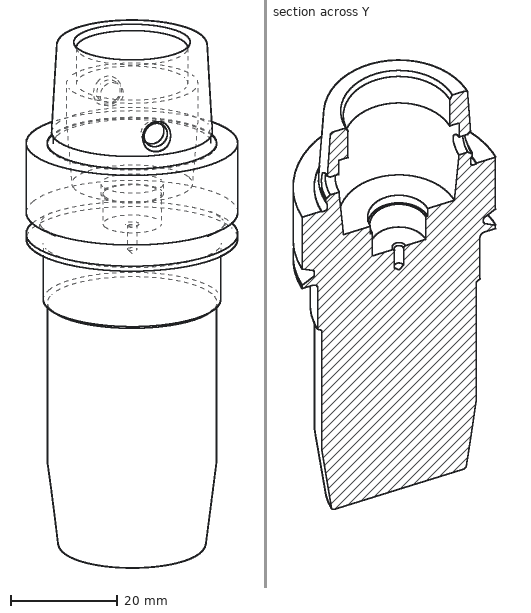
import cadquery as cq
import math

overall_height = 99.9
shank_length = 20.0
flange_face_z = overall_height - shank_length
flange_bottom_z = 60.9
collar_bottom_z = 49.0
body_bottom_z = 17.0

flange_radius = 20.0
groove_floor_radius = 17.5
groove_center_z = 64.0
groove_width = 4.2
groove_wall_angle = math.radians(30)
groove_corner_radius = 0.6

collar_radius = 16.8
collar_root_radius = 1.0
collar_chamfer_height = 0.6
body_radius = 16.0
nose_radius = 13.9
nose_corner_radius = 0.8

shank_top_radius = 14.2
shank_base_radius = 15.2
shank_corner_radius = 0.7
shank_base_z = 82.1
relief_radius = 14.9
relief_top_z = 81.4
relief_corner_radius = 0.6
relief_root_radius = 0.4
face_recess_radius = 16.0
face_recess_depth = 0.2

bore_radius = 10.5
bore_mouth_radius = 11.0
bore_mouth_depth = 1.1
bore_straight_depth = 8.1
undercut_radius = 12.4
undercut_end_depth = 15.7
bore_floor_radius = 11.4
bore_depth = 28.0

seat_radius = 5.5
seat_depth = 8.0
seat_mouth_radius = 5.9
seat_mouth_depth = 2.0
center_hole_mouth_radius = 1.3
center_hole_mouth_depth = 0.4
center_hole_radius = 0.9
center_hole_depth = 5.0
center_hole_tip_depth = 0.9

cross_hole_radius = 2.3
cross_hole_z = 85.8
cross_hole_sink_radius = 3.0
cross_hole_sink_depth = 0.8


def revolve_profile(profile):
    """Revolve a closed (radius, height) outline about the Z axis."""
    return profile.close().revolve(360, (0, 0, 0), (0, 1, 0))


def circles_at(z, radius):
    """Select the circular edge of the given radius and height."""
    margin = 0.05
    outer = radius + margin
    inner = radius - margin
    return cq.selectors.BoxSelector(
        (-outer, -outer, z - margin), (outer, outer, z + margin), boundingbox=True
    ) - cq.selectors.BoxSelector(
        (-inner, -inner, z - margin), (inner, inner, z + margin), boundingbox=True
    )


def make_body():
    groove_top_z = groove_center_z + groove_width / 2
    groove_bottom_z = groove_center_z - groove_width / 2
    wall_drop = (flange_radius - groove_floor_radius) * math.tan(groove_wall_angle)
    floor_top_z = groove_top_z - wall_drop
    floor_bottom_z = groove_bottom_z + wall_drop
    recess_floor_z = flange_face_z - face_recess_depth

    body = revolve_profile(
        cq.Workplane("XZ")
        .moveTo(0, 0)
        .lineTo(nose_radius, 0)
        .lineTo(body_radius, body_bottom_z)
        .lineTo(body_radius, collar_bottom_z - collar_chamfer_height)
        .lineTo(collar_radius, collar_bottom_z)
        .lineTo(collar_radius, flange_bottom_z)
        .lineTo(flange_radius, flange_bottom_z)
        .lineTo(flange_radius, groove_bottom_z)
        .lineTo(groove_floor_radius, floor_bottom_z)
        .lineTo(groove_floor_radius, floor_top_z)
        .lineTo(flange_radius, groove_top_z)
        .lineTo(flange_radius, flange_face_z)
        .lineTo(face_recess_radius, flange_face_z)
        .lineTo(face_recess_radius, recess_floor_z)
        .lineTo(relief_radius, recess_floor_z)
        .lineTo(relief_radius, relief_top_z)
        .lineTo(shank_base_radius, shank_base_z)
        .lineTo(shank_top_radius, overall_height)
        .lineTo(0, overall_height)
    )

    rounded_edges = (
        (0, nose_radius, nose_corner_radius),
        (flange_bottom_z, collar_radius, collar_root_radius),
        (floor_bottom_z, groove_floor_radius, groove_corner_radius),
        (floor_top_z, groove_floor_radius, groove_corner_radius),
        (relief_top_z, relief_radius, relief_corner_radius),
        (recess_floor_z, relief_radius, relief_root_radius),
        (overall_height, shank_top_radius, shank_corner_radius),
    )
    for z, radius, fillet_radius in rounded_edges:
        body = body.edges(circles_at(z, radius)).fillet(fillet_radius)
    return body


def make_bore():
    straight_end_z = overall_height - bore_straight_depth
    undercut_end_z = overall_height - undercut_end_depth
    bore_floor_z = overall_height - bore_depth
    seat_floor_z = bore_floor_z - seat_depth
    center_hole_end_z = seat_floor_z - center_hole_depth

    return revolve_profile(
        cq.Workplane("XZ")
        .moveTo(0, overall_height)
        .lineTo(bore_mouth_radius, overall_height)
        .lineTo(bore_radius, overall_height - bore_mouth_depth)
        .lineTo(bore_radius, straight_end_z)
        .lineTo(undercut_radius, straight_end_z)
        .lineTo(undercut_radius, undercut_end_z)
        .lineTo(bore_floor_radius, bore_floor_z)
        .lineTo(seat_mouth_radius, bore_floor_z)
        .lineTo(seat_mouth_radius, bore_floor_z - seat_mouth_depth)
        .lineTo(seat_radius, bore_floor_z - seat_mouth_depth)
        .lineTo(seat_radius, seat_floor_z)
        .lineTo(center_hole_mouth_radius, seat_floor_z)
        .lineTo(center_hole_radius, seat_floor_z - center_hole_mouth_depth)
        .lineTo(center_hole_radius, center_hole_end_z)
        .lineTo(0, center_hole_end_z - center_hole_tip_depth)
    )


def make_cross_holes():
    """Through hole along X, countersunk where it leaves the tapered shank on both sides."""
    taper = (shank_base_radius - shank_top_radius) / (overall_height - shank_base_z)
    surface_radius = shank_base_radius - taper * (cross_hole_z - shank_base_z)
    sink_start = surface_radius - cross_hole_sink_depth

    half_hole = (
        cq.Workplane("XY")
        .moveTo(0, 0)
        .lineTo(flange_radius, 0)
        .lineTo(flange_radius, cross_hole_sink_radius)
        .lineTo(surface_radius, cross_hole_sink_radius)
        .lineTo(sink_start, cross_hole_radius)
        .lineTo(0, cross_hole_radius)
        .close()
        .revolve(360, (0, 0, 0), (1, 0, 0))
        .translate((0, 0, cross_hole_z))
    )
    return half_hole.union(half_hole.mirror("YZ"))


result = make_body().cut(make_bore()).cut(make_cross_holes())